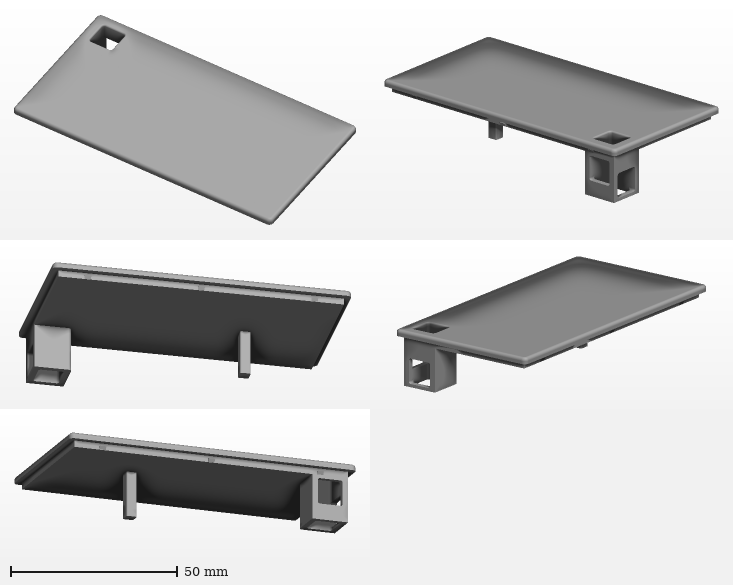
import cadquery as cq

length = 92.0
width = 49.0
height = 18.0
plate_thickness = 2.0
plate_corner_radius = 1.5
plate_edge_radius = 1.0
plate_bottom = height - plate_thickness

lip_inset = 2.0
lip_depth = 2.0
lip_length = length - 2 * lip_inset
lip_width = width - 2 * lip_inset
lip_bottom = plate_bottom - lip_depth

clip_length = 2.0
clip_height = 1.0
clip_reach = 0.55
clip_drop = 0.9
clip_spacing = 35.0
clip_top = plate_bottom - clip_drop

housing_side = 11.5
housing_corner_radius = 1.0
housing_x = (housing_side - lip_length) / 2
housing_y = (lip_width - housing_side) / 2
shaft_side = 8.0
shaft_corner_radius = 0.8
shaft_rim_radius = 0.55

window_corner_radius = 0.7
end_window_bottom = 1.0
side_window_bottom = 5.0

post_length = 3.3
post_width = 3.5
post_corner_radius = 0.5
post_x = 19.0
post_y = 3.5


def make_plate():
    plate = cq.Workplane("XY").workplane(offset=plate_bottom).rect(length, width).extrude(plate_thickness)
    return plate.edges("|Z").fillet(plate_corner_radius).faces(">Z").edges().fillet(plate_edge_radius)


def make_lip():
    return cq.Workplane("XY").workplane(offset=lip_bottom).rect(lip_length, lip_width).extrude(lip_depth)


def make_clip(centre_x, side):
    """Snap clip with a flat top and a sloping underside; side is +1 for +Y, -1 for -Y."""
    root = side * lip_width / 2
    tip = root + side * clip_reach
    profile = [
        (root, clip_top),
        (tip, clip_top),
        (root, clip_top - clip_height),
    ]
    start = centre_x - clip_length / 2
    return cq.Workplane("YZ").workplane(offset=start).polyline(profile).close().extrude(clip_length)


def make_housing():
    housing = cq.Workplane("XY").center(housing_x, housing_y).rect(housing_side, housing_side)
    return housing.extrude(plate_bottom).edges("|Z and >X and <Y").fillet(housing_corner_radius)


def make_shaft():
    shaft = cq.Workplane("XY").center(housing_x, housing_y).rect(shaft_side, shaft_side).extrude(height)
    return shaft.edges("|Z").fillet(shaft_corner_radius)


def round_shaft_rim(body):
    """Round the edge where the shaft opens in the top of the plate."""
    reach = shaft_side / 2 + shaft_rim_radius
    rim_box = cq.selectors.BoxSelector(
        (housing_x - reach, housing_y - reach, height - shaft_rim_radius),
        (housing_x + reach, housing_y + reach, height + shaft_rim_radius),
    )
    return body.edges(rim_box).fillet(shaft_rim_radius)


def make_end_window():
    """Square opening from the -X face of the housing to the middle of the shaft."""
    centre_z = end_window_bottom + shaft_side / 2
    window = cq.Workplane("YZ").workplane(offset=-lip_length / 2).center(housing_y, centre_z)
    window = window.rect(shaft_side, shaft_side).extrude(housing_side / 2)
    return window.edges("|X").fillet(window_corner_radius)


def make_side_window():
    """Square opening from the middle of the shaft to the +Y face of the housing."""
    centre_z = side_window_bottom + shaft_side / 2
    window = cq.Workplane("XZ").workplane(offset=-lip_width / 2).center(housing_x, centre_z)
    window = window.rect(shaft_side, shaft_side).extrude(housing_side / 2)
    return window.edges("|Y").fillet(window_corner_radius)


def make_post():
    post = cq.Workplane("XY").center(post_x, post_y).rect(post_length, post_width).extrude(plate_bottom)
    return post.edges("|Z").fillet(post_corner_radius)


body = make_plate().union(make_lip()).union(make_housing()).union(make_post())
for side in (-1, 1):
    for step in (-1, 0, 1):
        body = body.union(make_clip(step * clip_spacing, side))

body = round_shaft_rim(body.cut(make_shaft()))
result = body.cut(make_end_window()).cut(make_side_window())